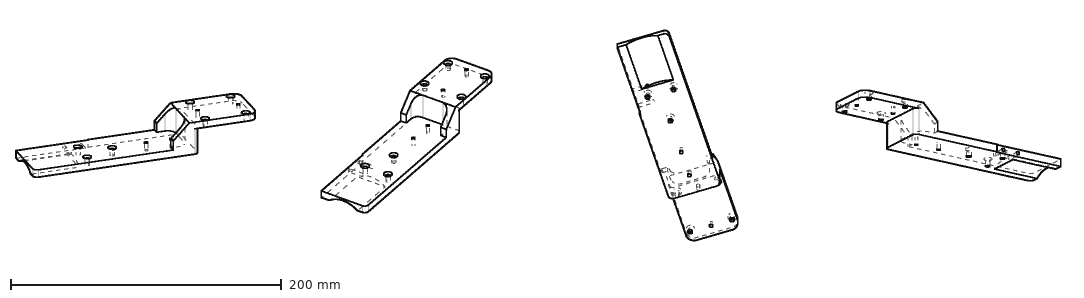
import cadquery as cq
import math

width = 40.0
length = 175.8
height = 25.8
half_width = width / 2

base_thickness = 6.0
upper_thickness = 5.5
riser_back = 129.5
riser_front = 109.3
riser_bevel = 12.7
riser_top_front = riser_front + riser_bevel
small_corner_radius = 3.3
large_corner_radius = 6.3

pocket_width = 30.2

relief_depth = 0.7
relief_length = 56.8

groove_radius = 20.0
groove_height = 4.2
groove_length = 37.8

pin_diameter = 2.5
screw_diameter = 3.3
sink_diameter = 6.3
sink_angle = 90
upper_rows = (135.9, 167.9)
upper_screw_x = 16.2
base_pin_rows = (95.5, 115.1)
front_screw_x = 10.0
front_screw_y = 45.4
center_screw_y = 68.7
side_hole_rows = (38.0, 50.8)
side_hole_depth = 12.0
drill_tip_angle = 118


def make_body():
    """Stepped side profile extruded across the width, with rounded corners."""
    profile = [
        (0, 0),
        (riser_back, 0),
        (riser_back, height - upper_thickness),
        (length, height - upper_thickness),
        (length, height),
        (riser_top_front, height),
        (riser_front, height - riser_bevel),
        (riser_front, base_thickness),
        (0, base_thickness),
    ]
    body = cq.Workplane("YZ").polyline(profile).close().extrude(half_width, both=True)
    body = body.edges("|Z and >Y").fillet(large_corner_radius)
    margin = 0.2
    riser_edges = cq.selectors.BoxSelector(
        (-width, riser_back - margin, 0), (width, riser_back + margin, height)
    )
    body = body.edges("|Z").edges(riser_edges).fillet(small_corner_radius)
    return body.edges("|Z and <Y").edges(">X").fillet(small_corner_radius)


def make_pocket():
    """Open-front pocket with rounded back corners, down to the base plate."""
    pocket = cq.Workplane("XY", origin=(0, 0, base_thickness)).box(
        pocket_width, riser_top_front, height, centered=(True, False, False)
    )
    return pocket.edges("|Z and >Y").fillet(large_corner_radius)


def make_relief():
    """Strip removed from the -X edge at the front of the base."""
    return cq.Workplane("XY", origin=(-half_width, 0, 0)).box(
        relief_depth, relief_length, base_thickness, centered=False
    )


def make_groove():
    """Cylinder along Y whose upper part cuts into the underside."""
    axis_z = groove_height - groove_radius
    return cq.Workplane("XZ").center(0, axis_z).circle(groove_radius).extrude(-groove_length)


def drill_from(body, top_z):
    """Workplane for drilling down from a horizontal face at the given height."""
    return body.copyWorkplane(cq.Workplane("XY", origin=(0, 0, top_z)))


def drill_pins(body, points, top_z, depth):
    return drill_from(body, top_z).pushPoints(points).hole(pin_diameter, depth)


def drill_screws(body, points, top_z, depth):
    plane = drill_from(body, top_z).pushPoints(points)
    return plane.cskHole(screw_diameter, sink_diameter, sink_angle, depth)


def make_side_hole(y):
    """Drilled cross hole with a conical tip; the front one breaks into the groove end."""
    radius = pin_diameter / 2
    tip_length = radius / math.tan(math.radians(drill_tip_angle / 2))
    start_x = relief_depth - half_width
    hole_outline = [
        (0, 0),
        (side_hole_depth + tip_length, 0),
        (side_hole_depth, radius),
        (0, radius),
    ]
    plane = cq.Workplane("XY", origin=(start_x, y, base_thickness / 2))
    return plane.polyline(hole_outline).close().revolve(360, (0, 0, 0), (1, 0, 0))


upper_pins = [(0, y) for y in upper_rows]
upper_screws = [(x, y) for x in (-upper_screw_x, upper_screw_x) for y in upper_rows]
base_pins = [(0, y) for y in base_pin_rows]
base_screws = [
    (-front_screw_x, front_screw_y),
    (front_screw_x, front_screw_y),
    (0, center_screw_y),
]

result = make_body().cut(make_pocket()).cut(make_relief()).cut(make_groove())
result = drill_pins(result, upper_pins, height, upper_thickness)
result = drill_screws(result, upper_screws, height, upper_thickness)
result = drill_pins(result, base_pins, base_thickness, base_thickness)
result = drill_screws(result, base_screws, base_thickness, base_thickness)
for row_y in side_hole_rows:
    result = result.cut(make_side_hole(row_y))